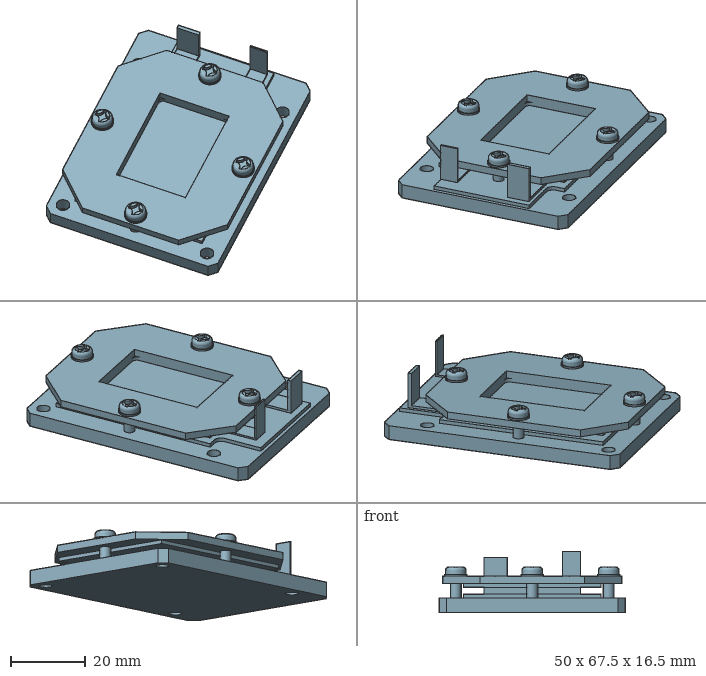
import cadquery as cq
import math

base_x = 50.0
base_y = 67.5
base_height = 4.0
plate_thickness = base_height / 2
base_chamfer = 2.0
mount_hole_diameter = 3.6
mount_hole_spacing_x = 42.0
mount_hole_spacing_y = 52.0

assembly_y = -3.8

pad_x = 37.0
pad_y = 47.0
pad_thickness = 1.0
pad_end_y = assembly_y + pad_y / 2
tongue_x = 28.0
tongue_setback = 1.0
tongue_end_y = base_y / 2 - tongue_setback
tongue_fillet = 2.0

stack_x = 26.0
stack_y = 36.0
wide_contact_thickness = 0.7
core_thickness = 0.7
thin_contact_thickness = 0.5
stack_z = base_height + pad_thickness
core_z = stack_z + wide_contact_thickness
thin_contact_z = core_z + core_thickness
stack_top_z = thin_contact_z + thin_contact_thickness
stack_height = stack_top_z - stack_z

tab_outer_y = 30.8
wide_tab_width = 6.35
wide_tab_wall = 1.0
wide_tab_top_z = 14.85
thin_tab_width = 4.9
thin_tab_wall = thin_contact_thickness
thin_tab_top_z = 16.5

clamp_x = 48.05
clamp_y = 58.05
clamp_chamfer = 10.0
clamp_z = stack_top_z + pad_thickness
clamp_top_z = clamp_z + plate_thickness
window_x = 20.1
window_y = 30.0
pad_window_fillet = 1.5

screw_offset_x = 20.5
screw_offset_y = 25.5
shank_diameter = 3.0
washer_diameter = 6.0
washer_height = 0.5
head_diameter = 5.55
head_side_height = 0.8
head_height = 2.0
head_top_diameter = 4.0
recess_depth = 0.95
recess_floor_radius = 1.8
recess_rim_radius = 2.0
recess_arm_half_width = 0.35
recess_waist_radius = 1.1


def block(x_min, x_max, y_min, y_max, z_min, z_max):
    size = (x_max - x_min, y_max - y_min, z_max - z_min)
    return cq.Workplane("XY").box(*size, centered=False).translate((x_min, y_min, z_min))


def centred_block(size_x, size_y, height, y, z):
    return cq.Workplane("XY", origin=(0, y, z)).box(size_x, size_y, height, centered=(True, True, False))


def make_base():
    base = centred_block(base_x, base_y, base_height, 0, 0).edges("|Z").chamfer(base_chamfer)
    return (
        base.faces(">Z").workplane(origin=(0, assembly_y, 0))
        .rect(mount_hole_spacing_x, mount_hole_spacing_y, forConstruction=True)
        .vertices().hole(mount_hole_diameter)
    )


def make_lower_pad():
    pad = centred_block(pad_x, pad_y, pad_thickness, assembly_y, base_height)
    tongue = block(-tongue_x / 2, tongue_x / 2, 0, tongue_end_y, base_height, stack_z)
    pad = pad.union(tongue)
    for side in (-1, 1):
        inner_corner = (side * tongue_x / 2, pad_end_y, base_height + pad_thickness / 2)
        pad = pad.edges(cq.selectors.NearestToPointSelector(inner_corner)).fillet(tongue_fillet)
    return pad


def make_upper_pad():
    pad = centred_block(pad_x, pad_y, pad_thickness, assembly_y, stack_top_z)
    window = centred_block(window_x, window_y, pad_thickness, assembly_y, stack_top_z)
    return pad.cut(window.edges("|Z").fillet(pad_window_fillet))


def make_clamp():
    clamp = centred_block(clamp_x, clamp_y, plate_thickness, assembly_y, clamp_z)
    window = centred_block(window_x, window_y, plate_thickness, assembly_y, clamp_z)
    return clamp.edges("|Z").chamfer(clamp_chamfer).cut(window)


def make_tab(x_min, width, bottom_z, strip_thickness, wall, top_z):
    """Flat strip running out of the stack, with an upright wall at its end."""
    x_max = x_min + width
    strip = block(x_min, x_max, assembly_y, tab_outer_y, bottom_z, bottom_z + strip_thickness)
    upright = block(x_min, x_max, tab_outer_y - wall, tab_outer_y, bottom_z, top_z)
    return strip.union(upright)


def make_recess():
    """Four-pointed star with concave flanks, its arm ends tapering inwards to the floor."""
    reach = recess_rim_radius
    waist = recess_waist_radius * math.sqrt(0.5)
    half_width = recess_arm_half_width
    star = (
        cq.Workplane("XY").moveTo(reach, half_width)
        .threePointArc((waist, waist), (half_width, reach))
        .lineTo(-half_width, reach)
        .threePointArc((-waist, waist), (-reach, half_width))
        .lineTo(-reach, -half_width)
        .threePointArc((-waist, -waist), (-half_width, -reach))
        .lineTo(half_width, -reach)
        .threePointArc((waist, -waist), (reach, -half_width))
        .close().extrude(recess_depth)
    )
    taper = (
        cq.Workplane("XY").circle(recess_floor_radius)
        .workplane(offset=recess_depth).circle(recess_rim_radius).loft()
    )
    return star.intersect(taper)


def make_screw():
    """Screw along Z with the washer seated at Z = 0."""
    head_r = head_diameter / 2
    top_r = head_top_diameter / 2
    side_z = washer_height + head_side_height
    top_z = washer_height + head_height
    dome_mid = (
        top_r + (head_r - top_r) * math.sqrt(0.5),
        side_z + (top_z - side_z) * math.sqrt(0.5),
    )
    head = (
        cq.Workplane("XZ")
        .lineTo(washer_diameter / 2, 0)
        .lineTo(washer_diameter / 2, washer_height)
        .lineTo(head_r, washer_height)
        .lineTo(head_r, side_z)
        .threePointArc(dome_mid, (top_r, top_z))
        .lineTo(0, top_z)
        .close()
        .revolve(360, (0, 0, 0), (0, 1, 0))
    )
    shank_length = clamp_top_z - base_height
    shank = cq.Workplane("XY").circle(shank_diameter / 2).extrude(-shank_length)
    return head.cut(make_recess().translate((0, 0, top_z - recess_depth))).union(shank)


result = make_base().union(make_lower_pad())
result = result.union(centred_block(stack_x, stack_y, stack_height, assembly_y, stack_z))
result = result.union(make_upper_pad()).union(make_clamp())

wide_tab = make_tab(
    -stack_x / 2, wide_tab_width, stack_z, wide_contact_thickness, wide_tab_wall, wide_tab_top_z
)
thin_tab = make_tab(
    stack_x / 2 - thin_tab_width, thin_tab_width, thin_contact_z, thin_contact_thickness,
    thin_tab_wall, thin_tab_top_z,
)
result = result.union(wide_tab).union(thin_tab)

screw = make_screw()
for x, y in ((-screw_offset_x, 0), (screw_offset_x, 0), (0, -screw_offset_y), (0, screw_offset_y)):
    result = result.union(screw.translate((x, assembly_y + y, clamp_top_z)))